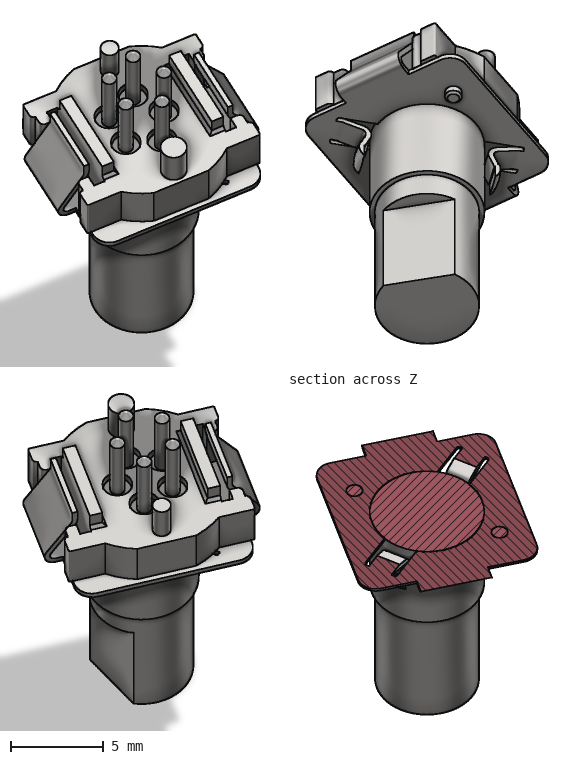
import cadquery as cq
import math

pin_tip_z = 19.1
pin_shoulder_z = 18.72
post_top_z = 17.29
rib_top_z = 16.27
clip_top_z = 16.22
block_top_z = 15.3
plate_top_z = 12.8
sheet_thickness = 0.3
plate_bottom_z = plate_top_z - sheet_thickness
peg_bottom_z = 12.01
collar_bottom_z = 7.3
flat_top_z = 5.83

collar_radius = 3.1
plug_radius = 2.8
flat_distance = 2.0
flat_angle = 110.0
bulge_radius = 4.99
bulge_half_x = 4.7
shoulder_half_x = 3.82
tab_end_y = 5.23
tab_corner_radius = 0.1
recess_y = 4.99
tab_inner_x = 2.79
tab_inner_radius = tab_end_y - recess_y
neck_half_x = 2.1
neck_corner_radius = 0.29
slot_half_x = 2.79
slot_inner_y = 3.67
slot_outer_y = 4.3
rib_half_x = 2.5
rib_inner_y = 2.96
rib_foot = 0.2
small_post_x = -3.75
small_post_radius = 0.5
large_post_x = 3.78
large_post_radius = 0.7
pin_radius = 0.4
pin_places = [(0, 1.35), (-1.7, 0.36), (1.7, 0.36), (-0.97, -1.45), (0.97, -1.45)]
well_radius = 0.8
well_floor_radius = 0.76
well_depth = 0.38
well_floor_z = block_top_z - well_depth
peg_radius = 0.45
peg_chamfer = 0.13
peg_places = [(-3.32, 2.6), (3.32, -2.6)]

plate_side = 10.0
plate_corner_radius = 1.0
bend_inner_radius = sheet_thickness
bend_outer_radius = bend_inner_radius + sheet_thickness
clip_width = 4.0
clip_reach_y = 6.05
clip_lean = 35.5
clip_leg_y = 4.5
clip_root_y = 4.58
arm_width = 1.41
arm_gap = 0.27
arm_notch_end = 5.15
arm_root = 4.87
arm_overlap = 0.2
arm_bend = (3.42, 12.07)
arm_end = (3.84, 11.08)
arm_angles = [45.0, 225.0]
pad_center = (3.05, 10.83)
pad_middle_radius = 0.92
pad_side_radius = 0.84
pad_back = 3.61
pad_top_z = 11.27


def cylinder(radius, bottom_z, top_z, x=0.0, y=0.0):
    return cq.Workplane("XY", origin=(x, y, bottom_z)).circle(radius).extrude(top_z - bottom_z)


def box(x_range, y_range, z_range):
    """Box between the given limits along each axis."""
    return cq.Workplane("XY").box(
        x_range[1] - x_range[0],
        y_range[1] - y_range[0],
        z_range[1] - z_range[0],
        centered=False,
    ).translate((x_range[0], y_range[0], z_range[0]))


def with_opposite(feature):
    """A feature together with its copy turned half way round the Z axis."""
    return feature.union(feature.rotate((0, 0, 0), (0, 0, 1), 180))


def block():
    """Bulged body with four end tabs."""
    height = plate_top_z, block_top_z
    bulge = cylinder(bulge_radius, *height).intersect(
        box((-bulge_half_x, bulge_half_x), (-bulge_radius, bulge_radius), height)
    )
    body = bulge.union(box((-shoulder_half_x, shoulder_half_x), (-recess_y, recess_y), height))
    tabs = box((tab_inner_x, shoulder_half_x), (-tab_end_y, tab_end_y), height)
    tabs = tabs.edges("|Z and >X").fillet(tab_corner_radius)
    tabs = tabs.edges("|Z and <X").fillet(tab_inner_radius)
    return body.union(with_opposite(tabs))


def clip_opening():
    """T-shaped opening of the +Y end: wide slot inside, rounded neck to the outside."""
    height = plate_top_z, block_top_z
    slot = box((-slot_half_x, slot_half_x), (slot_inner_y, slot_outer_y), height)
    neck = box((-neck_half_x, neck_half_x), (slot_inner_y, recess_y), height)
    mouth_half_x = neck_half_x + neck_corner_radius
    mouth = (
        cq.Workplane("XY", origin=(0, 0, plate_top_z))
        .moveTo(-mouth_half_x, recess_y)
        .radiusArc((-neck_half_x, recess_y - neck_corner_radius), neck_corner_radius)
        .lineTo(neck_half_x, recess_y - neck_corner_radius)
        .radiusArc((mouth_half_x, recess_y), neck_corner_radius)
        .close()
        .extrude(block_top_z - plate_top_z)
    )
    return slot.union(neck).union(mouth)


def rib():
    """Upright rib of the +Y end, with a sloped foot on its three inner sides."""
    upright = box((-rib_half_x, rib_half_x), (rib_inner_y, slot_inner_y), (block_top_z, rib_top_z))
    depth = slot_inner_y - rib_inner_y
    foot = (
        cq.Workplane("XY", origin=(0, slot_inner_y, block_top_z))
        .rect(2 * (rib_half_x + rib_foot), 2 * (depth + rib_foot))
        .workplane(offset=rib_foot)
        .rect(2 * rib_half_x, 2 * depth)
        .loft()
    )
    inner_side = box((-slot_half_x, slot_half_x), (0, slot_inner_y), (block_top_z, rib_top_z))
    return upright.union(foot.intersect(inner_side))


def well(x, y):
    """Shallow tapered recess around a pin."""
    return (
        cq.Workplane("XY", origin=(x, y, well_floor_z))
        .circle(well_floor_radius)
        .workplane(offset=well_depth)
        .circle(well_radius)
        .loft()
    )


def pin(x, y):
    """Contact pin with a pointed tip, standing on the floor of its well."""
    return (
        cq.Workplane("XZ", origin=(x, y, 0))
        .moveTo(0, well_floor_z)
        .lineTo(pin_radius, well_floor_z)
        .lineTo(pin_radius, pin_shoulder_z)
        .lineTo(0, pin_tip_z)
        .close()
        .revolve(360, (0, 0, 0), (0, 1, 0))
    )


def plug():
    """Round collar and plug, with a keying flat along the lower part of the plug."""
    flat_cut = box(
        (flat_distance, plug_radius), (-plug_radius, plug_radius), (0, flat_top_z)
    ).rotate((0, 0, 0), (0, 0, 1), flat_angle)
    lower = cylinder(plug_radius, 0, collar_bottom_z).cut(flat_cut)
    return lower.union(cylinder(collar_radius, collar_bottom_z, plate_top_z))


def peg(x, y):
    """Locating peg that passes through the spring plate."""
    return cylinder(peg_radius, peg_bottom_z, plate_top_z, x, y).faces("<Z").chamfer(peg_chamfer)


def make_housing():
    housing = block().cut(with_opposite(clip_opening())).union(with_opposite(rib())).union(plug())
    for place in peg_places:
        housing = housing.union(peg(*place))
    for x, radius in ((small_post_x, small_post_radius), (large_post_x, large_post_radius)):
        housing = housing.union(cylinder(radius, block_top_z, post_top_z, x))
    for place in pin_places:
        housing = housing.cut(well(*place)).union(pin(*place))
    return housing


def bent_strip(outline, width):
    """Sheet strip bent in the XZ plane, centred on Y.

    The outline follows the side of the sheet that lies on the right when walking along it;
    every inner corner of it becomes a rounded bend.
    """
    directions = []
    for (x0, z0), (x1, z1) in zip(outline, outline[1:]):
        length = math.hypot(x1 - x0, z1 - z0)
        directions.append(((x1 - x0) / length, (z1 - z0) / length))
    offset_side = []
    turns = []
    for index, (x, z) in enumerate(outline):
        before = directions[max(index - 1, 0)]
        after = directions[min(index, len(directions) - 1)]
        turn = before[0] * after[1] - before[1] * after[0]
        miter = sheet_thickness / (1 + before[0] * after[0] + before[1] * after[1])
        offset_side.append((x - miter * (before[1] + after[1]), z + miter * (before[0] + after[0])))
        turns.append(turn)
    strip = cq.Workplane("XZ").polyline(outline + offset_side[::-1]).close().extrude(width / 2, both=True)
    for near, far, turn in list(zip(outline, offset_side, turns))[1:-1]:
        inside, outside = (far, near) if turn > 0 else (near, far)
        for (x, z), radius in ((inside, bend_inner_radius), (outside, bend_outer_radius)):
            corner = cq.selectors.NearestToPointSelector((x, 0, z))
            strip = strip.edges("|Y").edges(corner).fillet(radius)
    return strip


def clip():
    """Hook at the +Y edge: turned up, leaning back in, then upright."""
    lean = math.radians(clip_lean)
    center_y = clip_reach_y - bend_outer_radius
    center_z = plate_bottom_z + bend_outer_radius
    bend_y = center_y + bend_outer_radius * (1 + math.sin(lean)) / math.cos(lean)
    leg_drop = (center_y - clip_leg_y) * math.cos(lean)
    leg_z = center_z + (bend_outer_radius + leg_drop) / math.sin(lean)
    outline = [
        (clip_root_y, plate_bottom_z),
        (bend_y, plate_bottom_z),
        (clip_leg_y, leg_z),
        (clip_leg_y, clip_top_z),
    ]
    return bent_strip(outline, clip_width).rotate((0, 0, 0), (0, 0, 1), 90)


def contact_pad():
    """Crowned bulge at the free end of an arm, on the outer side of the arm."""
    half_width = arm_width / 2
    pad_x, pad_z = pad_center
    barrel = (
        cq.Workplane("XY", origin=(pad_x, 0, pad_z))
        .moveTo(0, -half_width)
        .lineTo(pad_side_radius, -half_width)
        .threePointArc((pad_middle_radius, 0), (pad_side_radius, half_width))
        .lineTo(0, half_width)
        .close()
        .revolve(360, (0, 0, 0), (0, 1, 0))
    )
    outer_side = box(
        (pad_back, pad_x + pad_middle_radius),
        (-half_width, half_width),
        (pad_z - pad_middle_radius, pad_top_z),
    )
    return barrel.intersect(outer_side)


def arm():
    """Spring arm bent down out of the plate along a diagonal."""
    outline = [
        arm_end,
        arm_bend,
        (arm_root, plate_bottom_z),
        (arm_notch_end + arm_overlap, plate_bottom_z),
    ]
    return bent_strip(outline, arm_width)


def make_spring_plate():
    height = plate_bottom_z, plate_top_z
    half_side = plate_side / 2
    plate = box((-half_side, half_side), (-half_side, half_side), height)
    plate = plate.edges("|Z").fillet(plate_corner_radius)
    plate = plate.cut(cylinder(collar_radius, *height))
    for place in peg_places:
        plate = plate.cut(cylinder(peg_radius, *height, *place))
    plate = plate.union(with_opposite(clip()))
    notch_half = arm_width / 2 + arm_gap
    notch = box((0, arm_notch_end), (-notch_half, notch_half), height)
    notch = notch.edges("|Z and >X").fillet(arm_gap / 2)
    for angle in arm_angles:
        plate = plate.cut(notch.rotate((0, 0, 0), (0, 0, 1), angle))
        plate = plate.union(arm().union(contact_pad()).rotate((0, 0, 0), (0, 0, 1), angle))
    return plate


housing = make_housing()
spring_plate = make_spring_plate()
result = cq.Compound.makeCompound([housing.solids().val(), spring_plate.solids().val()])